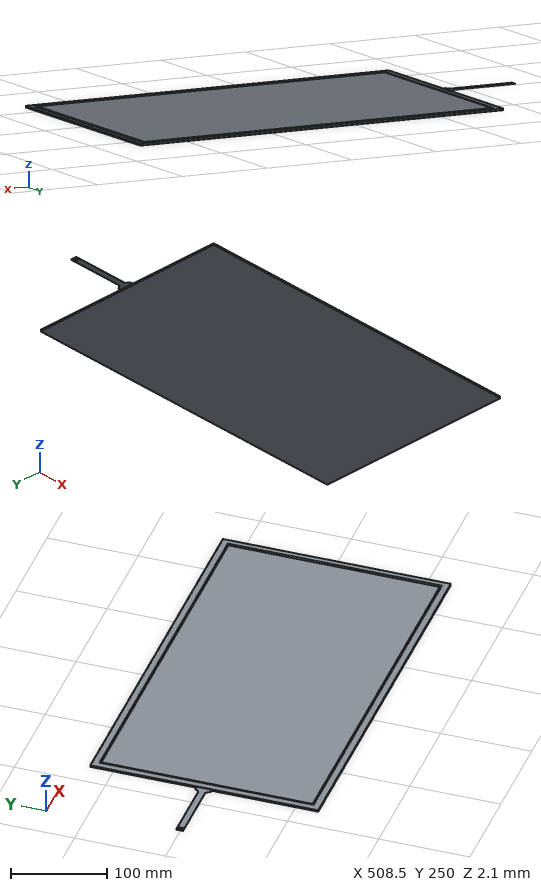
import cadquery as cq

overall_length = 508.5
panel_length = 428.5
panel_width = 250.0
panel_thickness = 2.1

step_depth = 0.1
border = 7.5
right_border = 6.0
inner_ledge = 1.5
inner_right_ledge = 3.0

tail_width = 7.5
tail_thickness = 0.3
tail_bottom = 1.4
flare_width = 17.5
flare_length = 7.5
flat_length = 4.0
tail_overlap = 2.5

contact_count = 4
contact_length = 5.0
contact_width = 1.0
contact_height = 0.1

panel_right = overall_length / 2
panel_left = panel_right - panel_length
tail_tip = -overall_length / 2


def make_block(x_min, x_max, y_center, width, z_min, height):
    """Box given by its X range, Y centre and width, and Z base and height."""
    return (
        cq.Workplane("XY")
        .box(x_max - x_min, width, height, centered=(False, True, False))
        .translate((x_min, y_center, z_min))
    )


def make_panel():
    """Rectangular plate whose top steps down twice inside the border."""
    panel = make_block(panel_left, panel_right, 0, panel_width, 0, panel_thickness)
    left = panel_left + border
    right = panel_right - right_border
    width = panel_width - 2 * border
    outer_window = make_block(left, right, 0, width, panel_thickness - step_depth, step_depth)
    inner_window = make_block(
        left + inner_ledge,
        right - inner_right_ledge,
        0,
        width - 2 * inner_ledge,
        panel_thickness - 2 * step_depth,
        2 * step_depth,
    )
    return panel.cut(outer_window).cut(inner_window)


def make_tail():
    """Thin strip that flares out where it enters the panel."""
    root = panel_left + tail_overlap
    shoulder = panel_left - flat_length
    neck = panel_left - flare_length
    half_tail = tail_width / 2
    half_flare = flare_width / 2
    return (
        cq.Workplane("XY")
        .moveTo(tail_tip, -half_tail)
        .lineTo(neck, -half_tail)
        .lineTo(shoulder, -half_flare)
        .lineTo(root, -half_flare)
        .lineTo(root, half_flare)
        .lineTo(shoulder, half_flare)
        .lineTo(neck, half_tail)
        .lineTo(tail_tip, half_tail)
        .close()
        .extrude(tail_thickness)
        .translate((0, 0, tail_bottom))
    )


def add_contacts(body):
    """Raise evenly spaced contact strips on the tip of the tail."""
    pitch = tail_width / contact_count
    for index in range(contact_count):
        y_center = (index - (contact_count - 1) / 2) * pitch
        strip = make_block(
            tail_tip,
            tail_tip + contact_length,
            y_center,
            contact_width,
            tail_bottom,
            tail_thickness + contact_height,
        )
        body = body.union(strip)
    return body


result = add_contacts(make_panel().union(make_tail()))